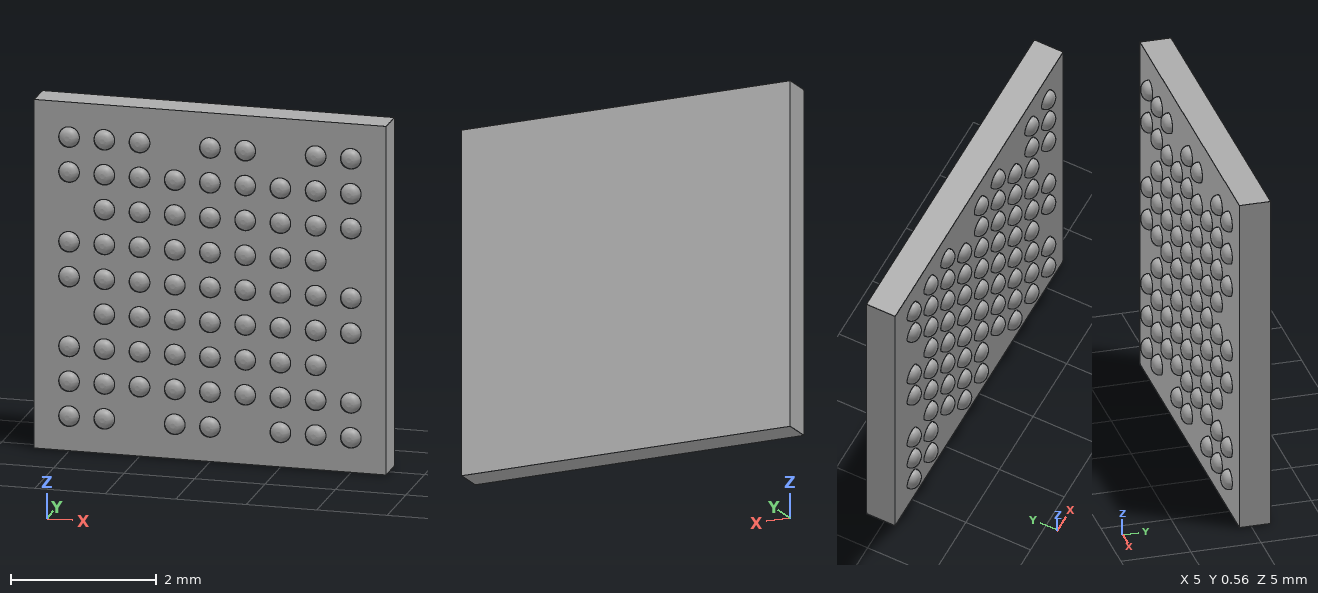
import cadquery as cq

BODY_SIDE = 5.0
OVERALL_DEPTH = 0.56
BALL_HEIGHT = 0.113
BODY_THICKNESS = OVERALL_DEPTH - BALL_HEIGHT

BALL_RADIUS = 0.145
TIP_RADIUS = 0.035
ROUND_RADIUS = BALL_RADIUS - TIP_RADIUS

GRID_PITCH = 0.5
GRID_COUNT = 9

EMPTY_COLUMNS = {
    0: (3, 6),
    2: (0,),
    3: (8,),
    5: (0,),
    6: (8,),
    8: (2, 5),
}


def make_body():
    return cq.Workplane("XY").box(
        BODY_SIDE, BODY_THICKNESS, BODY_SIDE, centered=(True, False, True)
    )


def make_ball():
    """Revolve about the Y axis: short straight wall, quarter-round rim, flat tip."""
    return (
        cq.Workplane("XY")
        .lineTo(BALL_RADIUS, 0)
        .lineTo(BALL_RADIUS, ROUND_RADIUS - BALL_HEIGHT)
        .radiusArc((TIP_RADIUS, -BALL_HEIGHT), ROUND_RADIUS)
        .lineTo(0, -BALL_HEIGHT)
        .close()
        .revolve(360, (0, 0, 0), (0, 1, 0))
    )


def ball_positions():
    """Centres of the occupied grid sites on the ball face."""
    half_span = GRID_PITCH * (GRID_COUNT - 1) / 2
    positions = []
    for row in range(GRID_COUNT):
        for column in range(GRID_COUNT):
            if column in EMPTY_COLUMNS.get(row, ()):
                continue
            x = column * GRID_PITCH - half_span
            z = half_span - row * GRID_PITCH
            positions.append(cq.Vector(x, 0, z))
    return positions


ball = make_ball().val()
balls = [ball.moved(cq.Location(position)) for position in ball_positions()]
result = cq.Workplane(make_body().val().fuse(*balls))